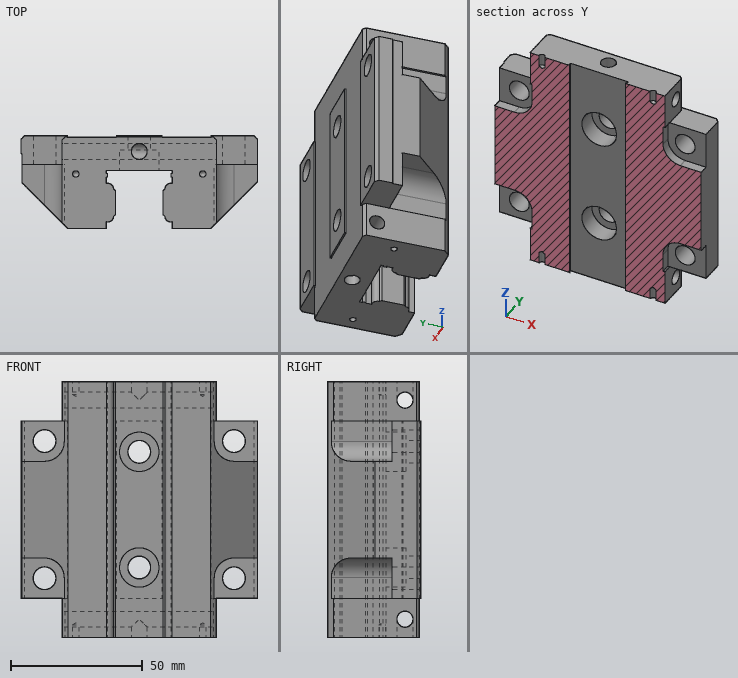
import cadquery as cq
import math


total_length = 97.2
total_width = 90.0
total_height = 35.4
half_width = total_width / 2

block_length = 67.5
half_block = block_length / 2
foot_half_width = 27.1
flank_top = half_width - foot_half_width
flange_chamfer = 1.5
side_relief_depth = 0.4
side_relief_top = 28.7
pad_half_width = 8.65
outer_pad_start = 27.3
face_recess_depth = 0.6

cap_length = (total_length - block_length) / 2
cap_half_width = 29.3
cap_height = total_height - face_recess_depth
cap_chamfer = 1.1

channel_half_width = 12.4
channel_height = 22.1
rib_top = 21.0
rib_bottom = 19.6
rib_projection = 0.4
land_half_gap = 8.9
land_middle = 9.9
land_half_height = 4.5
land_chamfer = 1.2
bead_radius = 2.2
bead_offset_x = 12.0
bead_offset_y = 5.2

pocket_ceiling = 24.5
pocket_wall = 28.5
pocket_length = 15.4
pocket_radius = 7.5

bolt_diameter = 8.6
flange_bolt_x = 36.0
flange_bolt_z = 26.05
middle_bolt_z = 22.0
counterbore_diameter = 15.0
counterbore_depth = 7.8

port_diameter = 6.0
port_height = 29.4
port_z = 41.6
screw_diameter = 2.4
screw_x = 24.1
screw_y = 20.8
screw_depth = 4.9
drill_tip_angle = 118.0


def extrude_along_z(outline, length):
    """Extrude an XY outline along Z, centred on Z = 0."""
    return outline.extrude(length / 2, both=True)


def box_between(x0, x1, y0, y1, length):
    """Box given by its X and Y limits, centred on Z = 0."""
    centre = ((x0 + x1) / 2, (y0 + y1) / 2, 0)
    return cq.Workplane("XY").box(x1 - x0, y1 - y0, length).translate(centre)


def cylinder_y(diameter, x, z, y_start, length):
    """Cylinder that rises along +Y from y_start."""
    axis = cq.Vector(0, 1, 0)
    return cq.Workplane(cq.Solid.makeCylinder(diameter / 2, length, cq.Vector(x, y_start, z), axis))


def make_block():
    """Flanged block with 45 degree flanks and two shallow recesses in its mounting face."""
    outline = cq.Workplane("XY").polyline([
        (-foot_half_width, 0),
        (foot_half_width, 0),
        (half_width, flank_top),
        (half_width, total_height - flange_chamfer),
        (half_width - flange_chamfer, total_height),
        (-half_width + flange_chamfer, total_height),
        (-half_width, total_height - flange_chamfer),
        (-half_width, side_relief_top),
        (-half_width + side_relief_depth, side_relief_top - side_relief_depth),
        (-half_width + side_relief_depth, flank_top - side_relief_depth),
    ]).close()
    block = extrude_along_z(outline, block_length)
    for x0, x1 in ((-outer_pad_start, -pad_half_width), (pad_half_width, outer_pad_start)):
        block = block.cut(box_between(x0, x1, cap_height, total_height, block_length))
    return block


def make_corner_pocket(side, end):
    """Pocket below the flange; side is the sign of X and end the sign of Z."""
    depth = half_width - pocket_wall
    pocket = (
        cq.Workplane("XY")
        .box(depth, pocket_ceiling, pocket_length, centered=False)
        .edges("|Y and <X and <Z")
        .fillet(pocket_radius)
        .translate((pocket_wall, 0, half_block - pocket_length))
    )
    if side < 0:
        pocket = pocket.mirror("YZ")
    if end < 0:
        pocket = pocket.mirror("XY")
    return pocket


def make_end_caps():
    """The two end caps, one on each end face of the block."""
    foot_chamfer = cap_half_width - foot_half_width
    outline = cq.Workplane("XY").polyline([
        (-foot_half_width, 0),
        (foot_half_width, 0),
        (cap_half_width, foot_chamfer),
        (cap_half_width, cap_height - cap_chamfer),
        (cap_half_width - cap_chamfer, cap_height),
        (-cap_half_width + cap_chamfer, cap_height),
        (-cap_half_width, cap_height - cap_chamfer),
        (-cap_half_width, foot_chamfer),
    ]).close()
    cap = outline.extrude(cap_length)
    return cap.translate((0, 0, half_block)).union(cap.translate((0, 0, -total_length / 2)))


def make_land(side):
    """Land with a rounded bead at each shoulder, and a thin rib, on one wall of the channel."""
    root_half_height = land_half_height + land_chamfer
    root_x = land_half_gap + land_chamfer
    outline = cq.Workplane("XY").polyline([
        (channel_half_width, land_middle - root_half_height),
        (root_x, land_middle - root_half_height),
        (land_half_gap, land_middle - land_half_height),
        (land_half_gap, land_middle + land_half_height),
        (root_x, land_middle + root_half_height),
        (channel_half_width, land_middle + root_half_height),
    ]).close()
    land = extrude_along_z(outline, total_length)
    for direction in (-1, 1):
        bead_y = land_middle + direction * bead_offset_y
        bead = cq.Workplane("XY").center(bead_offset_x, bead_y).circle(bead_radius)
        land = land.union(extrude_along_z(bead, total_length))
    rib_edge = channel_half_width - rib_projection
    rib = box_between(rib_edge, channel_half_width, rib_bottom, rib_top, total_length)
    land = land.union(rib)
    return land if side > 0 else land.mirror("YZ")


def make_channel():
    """Rail channel, open at the underside and running the full length."""
    channel = box_between(-channel_half_width, channel_half_width, 0, channel_height, total_length)
    for side in (-1, 1):
        channel = channel.cut(make_land(side))
    return channel


def make_bolt_holes():
    """List of the four flange holes and the two counterbored middle holes."""
    holes = []
    for end in (-1, 1):
        for side in (-1, 1):
            x = side * flange_bolt_x
            holes.append(cylinder_y(bolt_diameter, x, end * flange_bolt_z, 0, total_height))
        z = end * middle_bolt_z
        holes.append(cylinder_y(bolt_diameter, 0, z, 0, total_height))
        holes.append(cylinder_y(counterbore_diameter, 0, z, channel_height, counterbore_depth))
    return holes


def make_cap_holes(end):
    """Crossing lubrication ports and two blind screw holes of one end cap."""
    inward = cq.Vector(0, 0, -end)
    face_z = end * total_length / 2
    cross_port = cq.Solid.makeCylinder(
        port_diameter / 2, 2 * cap_half_width,
        cq.Vector(-cap_half_width, port_height, end * port_z), cq.Vector(1, 0, 0),
    )
    end_port = cq.Solid.makeCylinder(
        port_diameter / 2, total_length / 2 - port_z, cq.Vector(0, port_height, face_z), inward
    )
    holes = cq.Workplane(cross_port).union(cq.Workplane(end_port))
    screw_radius = screw_diameter / 2
    tip_length = screw_radius / math.tan(math.radians(drill_tip_angle / 2))
    for side in (-1, 1):
        start = cq.Vector(side * screw_x, screw_y, face_z)
        bore = cq.Solid.makeCylinder(screw_radius, screw_depth, start, inward)
        tip = cq.Solid.makeCone(screw_radius, 0, tip_length, start + inward * screw_depth, inward)
        holes = holes.union(cq.Workplane(bore)).union(cq.Workplane(tip))
    return holes


carriage = make_block()
for pocket_side in (-1, 1):
    for pocket_end in (-1, 1):
        carriage = carriage.cut(make_corner_pocket(pocket_side, pocket_end))
carriage = carriage.union(make_end_caps())
carriage = carriage.cut(make_channel())
for bolt_hole in make_bolt_holes():
    carriage = carriage.cut(bolt_hole)
for cap_end in (-1, 1):
    carriage = carriage.cut(make_cap_holes(cap_end))

result = carriage